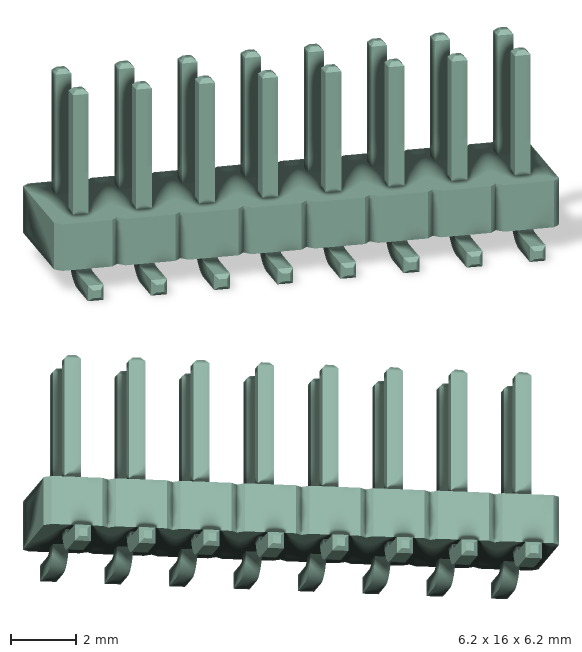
import cadquery as cq

rows = 8
pitch = 2.0
body_length = rows * pitch
body_width = 2 * pitch
body_height = 1.5
corner_cut = 0.2

pin_width = pitch / 4
pin_height = 4.0
leg_drop = 0.7
foot_span = 6.2
bend_inner_radius = pin_width
tip_chamfer = pin_width / 4


def make_body():
    """Row of cells whose cut corners leave V notches between neighbours."""
    half_width = body_width / 2
    right_side = []
    for row in range(rows):
        cell_start = row * pitch - body_length / 2
        cell_end = cell_start + pitch
        right_side += [
            (half_width - corner_cut, cell_start),
            (half_width, cell_start + corner_cut),
            (half_width, cell_end - corner_cut),
        ]
    right_side.append((half_width - corner_cut, body_length / 2))
    left_side = [(-x, y) for x, y in reversed(right_side)]
    return cq.Workplane("XY").polyline(right_side + left_side).close().extrude(body_height)


def make_pin():
    """Pin on the +X side, centred on Y = 0, with its foot bent outward."""
    inner_x = (pitch - pin_width) / 2
    outer_x = inner_x + pin_width
    top_z = body_height + pin_height
    foot_bottom = -leg_drop
    foot_top = foot_bottom + pin_width
    foot_tip = foot_span / 2

    bend_outer_radius = bend_inner_radius + pin_width
    bend_x = outer_x + bend_inner_radius
    bend_z = foot_top + bend_inner_radius

    return (
        cq.Workplane("XZ")
        .moveTo(inner_x, top_z)
        .lineTo(inner_x, bend_z)
        .radiusArc((bend_x, foot_bottom), -bend_outer_radius)
        .lineTo(foot_tip, foot_bottom)
        .lineTo(foot_tip, foot_top)
        .lineTo(bend_x, foot_top)
        .radiusArc((outer_x, bend_z), bend_inner_radius)
        .lineTo(outer_x, top_z)
        .close()
        .extrude(pin_width / 2, both=True)
        .faces(">Z or >X")
        .chamfer(tip_chamfer)
    )


right_pin = make_pin()
left_pin = right_pin.mirror("YZ")

result = make_body()
for row in range(rows):
    row_y = (row + 0.5) * pitch - body_length / 2
    for pin in (left_pin, right_pin):
        result = result.union(pin.translate((0, row_y, 0)))